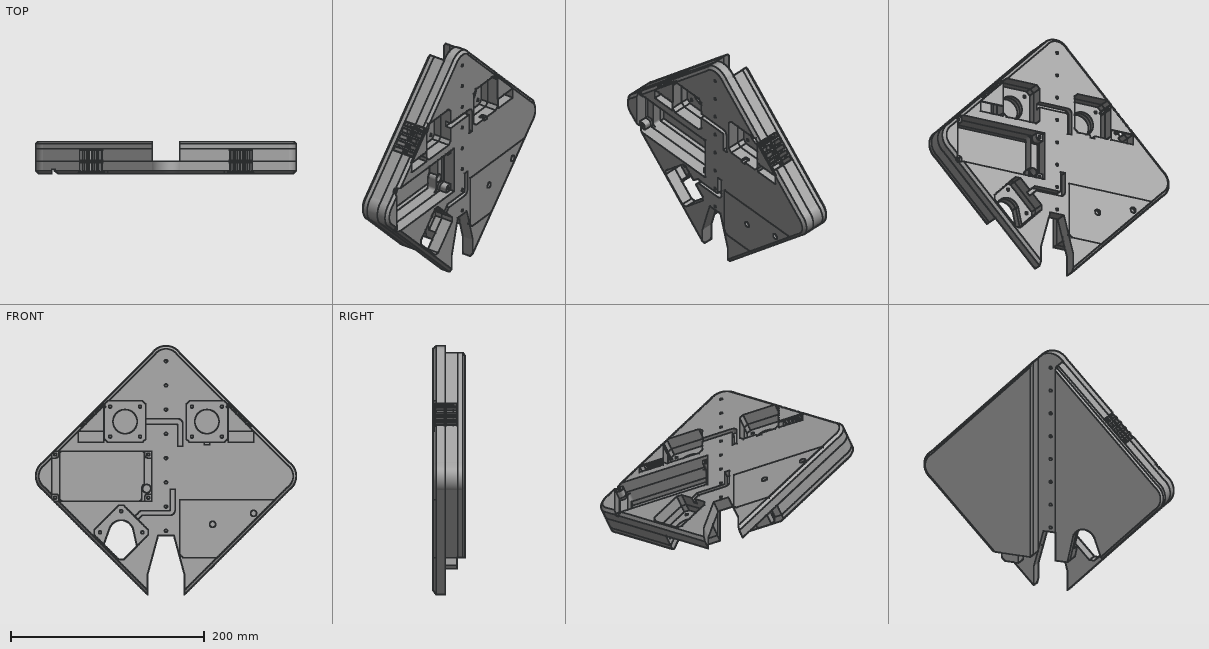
import cadquery as cq
import math

FRONT_Y = 0.0
SEAM_Y = 13.0
COVER_Y = 25.8
BACK_Y = 33.0
FRONT_CHAMFER = 3.2
BACK_CHAMFER = 2.29
THROUGH = 2.7

TIP = 134.5
EDGE_SUM = 141.32
TIP_RADIUS = 17.5
BOTTOM_Z = -122.4

NOTCH_TOP_Z = -61.3
NOTCH_TOP_HALF = 8.0
NOTCH_KNEE_Z = -101.7
NOTCH_HALF = EDGE_SUM + BOTTOM_Z

HALF_GAP = 14.0
HALF_BOTTOM_Z = -84.2

BAY_SIZE = 43.0
BAY_CHAMFER = 3.8
BAY_FLOOR_Y = 21.0
BAY_X = 42.2
BAY_Z = 56.2
LOWER_BAY_X = -46.3
LOWER_BAY_Z = -58.0
MOTOR_DIA = 25.0
MOTOR_FLOOR_Y = 31.0
BAY_HOLE_DIA = 3.0
BAY_HOLE_OFFSET = 15.45
BAY_HOLE_DEPTH = 3.2

ARCH_SHOULDER_Z = -53.0
ARCH_TOP_X = (-57.8, -34.5)
ARCH_BOTTOM_X = (-69.0, -27.5)

CHAMBER_X = (64.3, 90.5)
CHAMBER_OPENING_Z = (34.7, 46.0)
CHAMBER_FRONT_Y = 1.3
CHAMBER_BACK_Y = 24.5

BATTERY_X = (-117.8, -14.8)
BATTERY_HALF_Z = 25.8
LEDGE_Y = 15.5
WELL_X = (-109.7, -22.3)
WELL_RADIUS = 3.2
BATTERY_FLOOR_Y = 31.0
BOSS_SIZE = 7.3
BOSS_RADIUS = 3.5
BOSS_TOP_Y = 4.5
BOSS_HOLE_INSET = 3.5
BOSS_HOLE_DIA = 3.0
BOSS_HOLE_END_Y = 21.5
CABLE_HOLE = (-20.0, -13.0)
CABLE_HOLE_DIA = 8.5
PILLAR_RADIUS = 5.0

CHANNEL_DEPTH = 6.5
CHANNEL_BEND = 5.6
CHANNEL_INNER_BEND = 1.0

KEY_WIDTH = 5.5
KEY_HEIGHT = 2.5

ROW_COUNT = 8
ROW_PITCH = 25.0
ROW_TOP_Z = 118.5
ROW_DIA = 2.7

VENT_COUNT = 5
VENT_PITCH = 7.0
VENT_WIDTH = 4.5
VENT_DEPTH = 5.5
VENT_X = 77.5
VENT_SPANS = ((CHAMBER_FRONT_Y, 11.5), (13.7, CHAMBER_BACK_Y))

HATCH_LEFT = 14.3
HATCH_TOP = -24.5
HATCH_CORNER = 3.2
HATCH_EDGE_SUM = 137.1
HATCH_THICKNESS = 3.2
HATCH_HOLES = ((48.1, -49.8), (90.4, -38.5))
HATCH_HOLE_DIA = 6.2

FOOT_LEFT = 31.0
FOOT_RIGHT = 49.8
FOOT_BOTTOM = -95.7
FOOT_BACK_Y = 25.0
FOOT_CHAMFER = 3.8


def face_at(y):
    """Workplane at depth y with local axes X and Z."""
    return cq.Workplane("XZ", origin=(0, y, 0))


def prism(points, y_start, y_end):
    return face_at(y_start).polyline(points).close().extrude(y_start - y_end)


def block(x_range, z_range, y_start, y_end):
    (x0, x1), (z0, z1) = x_range, z_range
    return prism([(x0, z0), (x1, z0), (x1, z1), (x0, z1)], y_start, y_end)


def cylinder(center, diameter, y_start, y_end):
    return face_at(y_start).center(*center).circle(diameter / 2).extrude(y_start - y_end)


def diamond(y_start, y_end):
    """Diamond whose side and top corners are rounded by arcs that end on the straight edges."""
    arc_center = TIP - TIP_RADIUS
    center_to_edge = (EDGE_SUM - arc_center) / math.sqrt(2)
    half_angle = math.pi / 4 + math.acos(center_to_edge / TIP_RADIUS)
    along = arc_center + TIP_RADIUS * math.cos(half_angle)
    across = TIP_RADIUS * math.sin(half_angle)
    return (
        face_at(y_start)
        .moveTo(0, -EDGE_SUM)
        .lineTo(along, -across)
        .threePointArc((TIP, 0), (along, across))
        .lineTo(across, along)
        .threePointArc((0, TIP), (-across, along))
        .lineTo(-along, across)
        .threePointArc((-TIP, 0), (-along, -across))
        .close()
        .extrude(y_start - y_end)
    )


def half_of(layer, side):
    """The part of a layer on one side (-1 left, 1 right) of the centre gap."""
    x_range = sorted((side * HALF_GAP, side * EDGE_SUM))
    window = block(x_range, (HALF_BOTTOM_Z, EDGE_SUM), FRONT_Y - THROUGH, BACK_Y + THROUGH)
    return layer.intersect(window)


def motor_bay(x, z, turn, y_start, y_end):
    bay = face_at(y_start).rect(BAY_SIZE, BAY_SIZE).extrude(y_start - y_end)
    bay = bay.edges("|Y").chamfer(BAY_CHAMFER)
    return bay.rotate((0, 0, 0), (0, 1, 0), turn).translate((x, 0, z))


def motor_bay_holes(x, z, turn):
    spots = face_at(BAY_FLOOR_Y).rect(2 * BAY_HOLE_OFFSET, 2 * BAY_HOLE_OFFSET, forConstruction=True)
    holes = spots.vertices().circle(BAY_HOLE_DIA / 2).extrude(-BAY_HOLE_DEPTH)
    return holes.rotate((0, 0, 0), (0, 1, 0), turn).translate((x, 0, z))


def vent_chamber(side, y_start, y_end):
    """Chamber that slopes along the upper edge and rises above its front opening."""
    inner_x, outer_x = CHAMBER_X
    low_z, outer_z = CHAMBER_OPENING_Z
    inner_z = outer_z + outer_x - inner_x
    points = [(inner_x, low_z), (outer_x, low_z), (outer_x, outer_z), (inner_x, inner_z)]
    return prism([(side * x, z) for x, z in points], y_start, y_end)


def chamber_opening(side):
    return block([side * x for x in CHAMBER_X], CHAMBER_OPENING_Z, FRONT_Y, CHAMBER_FRONT_Y)


def battery_opening(y_start, y_end):
    return block(BATTERY_X, (-BATTERY_HALF_Z, BATTERY_HALF_Z), y_start, y_end)


def battery_bosses(y_start, y_end):
    """Four corner posts of the battery bay, rounded towards its middle."""
    center_x = sum(BATTERY_X) / 2
    half_x = (BATTERY_X[1] - BATTERY_X[0]) / 2
    bosses = cq.Workplane()
    for side in (-1, 1):
        for level in (-1, 1):
            x = center_x + side * (half_x - BOSS_SIZE / 2)
            z = level * (BATTERY_HALF_Z - BOSS_SIZE / 2)
            post = face_at(y_start).center(x, z).rect(BOSS_SIZE, BOSS_SIZE).extrude(y_start - y_end)
            inner_edge = cq.selectors.NearestToPointSelector((center_x, (y_start + y_end) / 2, 0))
            bosses = bosses.add(post.edges("|Y").edges(inner_edge).fillet(BOSS_RADIUS))
    return bosses.combine()


def battery_well():
    """Deep part of the battery bay, stepped in at the right around the cable hole pillar."""
    half_z = BATTERY_HALF_Z
    well = block(WELL_X, (-half_z, half_z), LEDGE_Y, COVER_Y)
    pillar = block((CABLE_HOLE[0] - PILLAR_RADIUS, WELL_X[1]), (-half_z, CABLE_HOLE[1]), LEDGE_Y, COVER_Y)
    well = well.cut(pillar).edges("|Y and (<X or <Z or >Z)").fillet(WELL_RADIUS)
    return well.cut(cylinder(CABLE_HOLE, 2 * PILLAR_RADIUS, LEDGE_Y, COVER_Y))


def battery_boss_holes():
    x_spots = (BATTERY_X[0] + BOSS_HOLE_INSET, BATTERY_X[1] - BOSS_HOLE_INSET)
    z_spot = BATTERY_HALF_Z - BOSS_HOLE_INSET
    spots = [(x, z) for x in x_spots for z in (-z_spot, z_spot)]
    holes = face_at(BOSS_TOP_Y).pushPoints(spots).circle(BOSS_HOLE_DIA / 2)
    return holes.extrude(BOSS_TOP_Y - BOSS_HOLE_END_Y)


def vents():
    """Rows of slots cut square into both upper edges."""
    slots = cq.Workplane()
    for side in (-1, 1):
        for index in range(VENT_COUNT):
            along = (index - (VENT_COUNT - 1) / 2) * VENT_PITCH
            for y_start, y_end in VENT_SPANS:
                slot = cq.Workplane().box(VENT_WIDTH, y_end - y_start, 2 * VENT_DEPTH)
                slot = slot.translate((along, (y_start + y_end) / 2, 0))
                slot = slot.rotate((0, 0, 0), (0, 1, 0), side * 45)
                slots = slots.add(slot.translate((side * VENT_X, 0, EDGE_SUM - VENT_X)))
    return slots.combine()


def upper_channel():
    start_x = -BAY_X + BAY_SIZE / 2 - THROUGH
    left, right, low, top, bottom = 12.5, 17.5, 53.2, 59.2, 30.7
    points = [(start_x, low), (left, low), (left, bottom), (right, bottom), (right, top), (start_x, top)]
    channel = prism(points, FRONT_Y, CHANNEL_DEPTH)
    channel = channel.edges(edge_at(right, top)).fillet(CHANNEL_BEND)
    return channel.edges(edge_at(left, low)).fillet(CHANNEL_INNER_BEND)


def lower_channel():
    left, right, low, high, top = 4.3, 9.5, -40.5, -35.8, -13.7
    bend_low, bend_high, reach = -24.7, -26.4, 7.3
    points = [
        (left, top), (right, top), (right, low), (bend_low, low), (bend_low - reach, low - reach),
        (bend_high - reach, high - reach), (bend_high, high), (left, high),
    ]
    channel = prism(points, FRONT_Y, CHANNEL_DEPTH)
    channel = channel.edges(edge_at(right, low)).fillet(CHANNEL_BEND)
    return channel.edges(edge_at(left, high)).fillet(CHANNEL_INNER_BEND)


def edge_at(x, z):
    return cq.selectors.NearestToPointSelector((x, CHANNEL_DEPTH / 2, z))


def hatch_outline(y_start, y_end):
    points = [
        (HATCH_LEFT, HATCH_TOP),
        (HATCH_EDGE_SUM + HATCH_TOP, HATCH_TOP),
        (HATCH_EDGE_SUM + HALF_BOTTOM_Z, HALF_BOTTOM_Z),
        (HATCH_LEFT + HATCH_CORNER, HALF_BOTTOM_Z),
        (HATCH_LEFT, HALF_BOTTOM_Z + HATCH_CORNER),
    ]
    return prism(points, y_start, y_end)


def cable_arch():
    y_start, y_end = SEAM_Y, BACK_Y
    flare = prism(
        [
            (ARCH_TOP_X[0], ARCH_SHOULDER_Z), (ARCH_TOP_X[1], ARCH_SHOULDER_Z),
            (ARCH_BOTTOM_X[1], HALF_BOTTOM_Z), (ARCH_BOTTOM_X[0], HALF_BOTTOM_Z),
        ],
        y_start, y_end,
    )
    return flare.union(cylinder((LOWER_BAY_X, LOWER_BAY_Z), MOTOR_DIA, y_start, y_end))


def plate_blank():
    return diamond(FRONT_Y, SEAM_Y).faces("<Y").chamfer(FRONT_CHAMFER)


def make_plate():
    blank = plate_blank()
    plate = blank.cut(prism(
        [
            (-NOTCH_HALF, -EDGE_SUM), (-NOTCH_HALF, NOTCH_KNEE_Z), (-NOTCH_TOP_HALF, NOTCH_TOP_Z),
            (NOTCH_TOP_HALF, NOTCH_TOP_Z), (NOTCH_HALF, NOTCH_KNEE_Z), (NOTCH_HALF, -EDGE_SUM),
        ],
        FRONT_Y, SEAM_Y,
    ))
    for side in (-1, 1):
        plate = plate.cut(motor_bay(side * BAY_X, BAY_Z, 0, FRONT_Y, SEAM_Y))
        plate = plate.cut(chamber_opening(side))
        plate = plate.cut(vent_chamber(side, CHAMBER_FRONT_Y, SEAM_Y))
    plate = plate.cut(motor_bay(LOWER_BAY_X, LOWER_BAY_Z, 45, FRONT_Y, SEAM_Y))
    plate = plate.cut(battery_opening(FRONT_Y, SEAM_Y))
    plate = plate.union(battery_bosses(BOSS_TOP_Y, SEAM_Y).intersect(blank))
    plate = plate.cut(battery_boss_holes())
    plate = plate.cut(upper_channel()).cut(lower_channel())

    key_top = BAY_Z - BAY_SIZE / 2
    key_x = (BAY_X - KEY_WIDTH / 2, BAY_X + KEY_WIDTH / 2)
    plate = plate.cut(block(key_x, (key_top - KEY_HEIGHT, key_top), FRONT_Y, CHANNEL_DEPTH))

    for index in range(ROW_COUNT):
        plate = plate.cut(cylinder((0, ROW_TOP_Z - index * ROW_PITCH), ROW_DIA, FRONT_Y, SEAM_Y))
    plate = plate.cut(hatch_outline(FRONT_Y, HATCH_THICKNESS))
    return plate.cut(vents())


def make_hatch():
    hatch = hatch_outline(FRONT_Y, HATCH_THICKNESS).intersect(plate_blank())
    for spot in HATCH_HOLES:
        hatch = hatch.cut(cylinder(spot, HATCH_HOLE_DIA, FRONT_Y, HATCH_THICKNESS))
    return hatch


def make_frame(side):
    """Side frame: the middle layer on one side of the centre gap."""
    frame = half_of(diamond(SEAM_Y, COVER_Y), side)
    frame = frame.cut(motor_bay(side * BAY_X, BAY_Z, 0, SEAM_Y, BAY_FLOOR_Y))
    frame = frame.cut(motor_bay_holes(side * BAY_X, BAY_Z, 0))
    frame = frame.cut(cylinder((side * BAY_X, BAY_Z), MOTOR_DIA, BAY_FLOOR_Y, COVER_Y))
    frame = frame.cut(vent_chamber(side, SEAM_Y, CHAMBER_BACK_Y))
    return frame.cut(vents())


def add_left_frame_features(frame):
    """Lower motor bay and battery bay, which only the left frame has."""
    frame = frame.cut(motor_bay(LOWER_BAY_X, LOWER_BAY_Z, 45, SEAM_Y, BAY_FLOOR_Y))
    frame = frame.cut(motor_bay_holes(LOWER_BAY_X, LOWER_BAY_Z, 45))
    frame = frame.cut(cable_arch())

    bosses = battery_bosses(SEAM_Y, LEDGE_Y).intersect(frame)
    frame = frame.cut(battery_opening(SEAM_Y, LEDGE_Y)).union(bosses)
    frame = frame.cut(battery_well())
    frame = frame.cut(cylinder(CABLE_HOLE, CABLE_HOLE_DIA, LEDGE_Y, COVER_Y))
    return frame.cut(battery_boss_holes())


def make_cover(side):
    """Back cover on one side, with the end of the motor recess."""
    cover = half_of(diamond(COVER_Y, BACK_Y).faces(">Y").chamfer(BACK_CHAMFER), side)
    return cover.cut(cylinder((side * BAY_X, BAY_Z), MOTOR_DIA, COVER_Y, MOTOR_FLOOR_Y))


def add_left_cover_features(cover):
    cover = cover.cut(cable_arch())
    recess = block(
        (WELL_X[0], BATTERY_X[1]), (-BATTERY_HALF_Z, BATTERY_HALF_Z), COVER_Y, BATTERY_FLOOR_Y
    )
    return cover.cut(recess)


def make_foot():
    foot = block((FOOT_LEFT, FOOT_RIGHT), (FOOT_BOTTOM, HALF_BOTTOM_Z), SEAM_Y, FOOT_BACK_Y)
    return foot.edges("|Y and >X and <Z").chamfer(FOOT_CHAMFER)


plate = make_plate()
hatch = make_hatch()
left_frame = add_left_frame_features(make_frame(-1))
right_frame = make_frame(1)
left_cover = add_left_cover_features(make_cover(-1))
right_cover = make_cover(1)
foot = make_foot()

result = cq.Compound.makeCompound([
    plate.val(), hatch.val(), left_frame.val(), right_frame.val(),
    left_cover.val(), right_cover.val(), foot.val(),
])